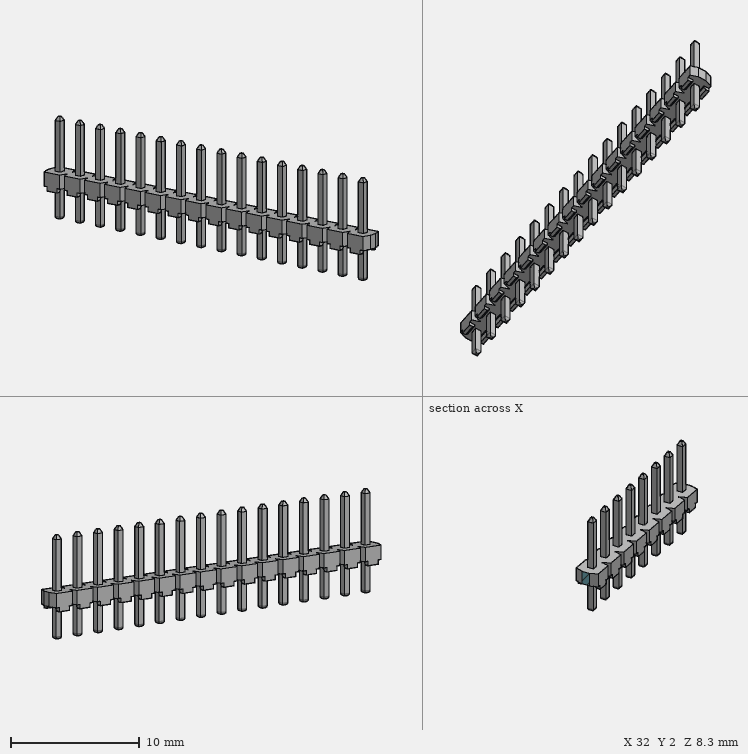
import cadquery as cq

pin_count = 16
row_length = 32
pitch = row_length / pin_count

body_depth = 2.0
body_height = 1.15
block_front_width = 1.55
neck_depth = 0.67

foot_width = 1.0
foot_height = 0.35
foot_depth = 0.48
foot_chamfer = 0.2

pin_width = 0.5
pin_length = 8.3
pin_above_body = 4.4
tip_width = 0.2
top_taper = 0.32
bottom_rounding = 0.22

pin_top = body_height + pin_above_body
pin_bottom = pin_top - pin_length


def make_block():
    """Eight-sided housing block; neighbouring blocks join along their narrow side faces."""
    side_x = pitch / 2
    front_x = block_front_width / 2
    neck_y = neck_depth / 2
    edge_y = body_depth / 2
    outline = [
        (side_x, -neck_y),
        (side_x, neck_y),
        (front_x, edge_y),
        (-front_x, edge_y),
        (-side_x, neck_y),
        (-side_x, -neck_y),
        (-front_x, -edge_y),
        (front_x, -edge_y),
    ]
    return cq.Workplane("XY").polyline(outline).close().extrude(body_height)


def make_foot():
    """Back foot, flush with the housing edge and chamfered on its inner lower edge."""
    outer_y = body_depth / 2
    inner_y = outer_y - foot_depth
    profile = [
        (outer_y, 0),
        (inner_y, 0),
        (inner_y, foot_chamfer - foot_height),
        (inner_y + foot_chamfer, -foot_height),
        (outer_y, -foot_height),
    ]
    return cq.Workplane("YZ").polyline(profile).close().extrude(foot_width / 2, both=True)


def make_pin():
    """Square pin with a pyramid frustum at the top and rounded edges at the bottom."""
    shank_top = pin_top - top_taper
    shank = (
        cq.Workplane("XY", origin=(0, 0, pin_bottom))
        .rect(pin_width, pin_width)
        .extrude(shank_top - pin_bottom)
        .faces("<Z")
        .edges()
        .fillet(bottom_rounding)
    )
    tip = (
        cq.Workplane("XY", origin=(0, 0, shank_top))
        .rect(pin_width, pin_width)
        .workplane(offset=top_taper)
        .rect(tip_width, tip_width)
        .loft(ruled=True)
    )
    return shank.union(tip)


back_foot = make_foot()
front_foot = back_foot.mirror("XZ")
station = make_block().union(back_foot).union(front_foot).union(make_pin())

first_x = (pitch - row_length) / 2
result = station.translate((first_x, 0, 0))
for index in range(1, pin_count):
    result = result.union(station.translate((first_x + index * pitch, 0, 0)))
result = result.clean()